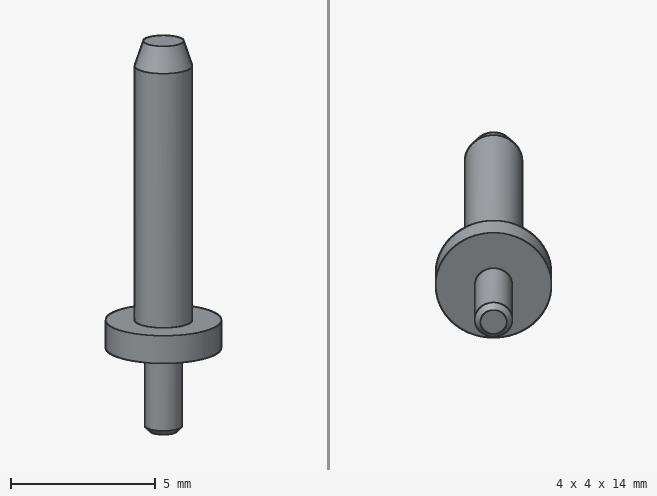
import cadquery as cq

total_length = 14.0
flange_diameter = 4.0
flange_thickness = 1.0
pin_diameter = 2.0
pin_tip_diameter = 1.4
pin_taper_length = 0.9
tail_diameter = 1.3
tail_length = 3.0
tail_chamfer = 0.2

pin_length = total_length - tail_length - flange_thickness
pin_taper_inset = (pin_diameter - pin_tip_diameter) / 2

flange = cq.Workplane("XY").circle(flange_diameter / 2).extrude(flange_thickness)

pin = (
    cq.Workplane("XY")
    .workplane(offset=flange_thickness)
    .circle(pin_diameter / 2)
    .extrude(pin_length)
    .faces(">Z")
    .edges()
    .chamfer(pin_taper_length, pin_taper_inset)
)

tail = (
    cq.Workplane("XY")
    .circle(tail_diameter / 2)
    .extrude(-tail_length)
    .faces("<Z")
    .edges()
    .chamfer(tail_chamfer)
)

result = flange.union(pin).union(tail)